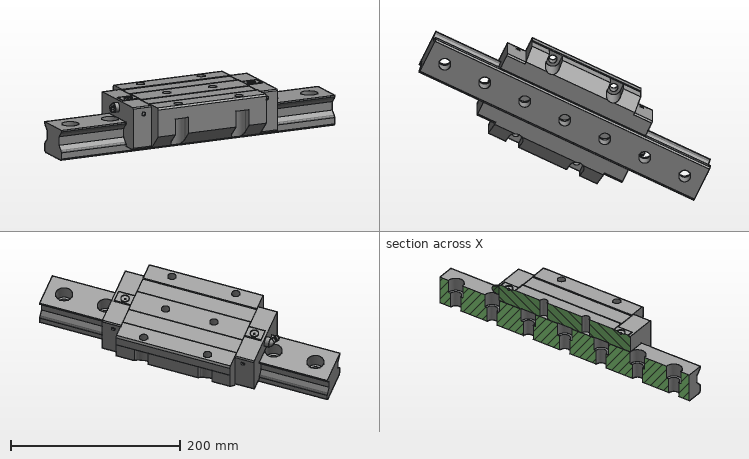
import cadquery as cq
import math


rail_length = 360.0
rail_width = 45.0
rail_half_width = rail_width / 2
rail_height = 37.0
rail_base_chamfer = 2.0
rail_hole_count = 7
rail_hole_end_margin = 22.5
rail_hole_diameter = 14.0
rail_counterbore_diameter = 20.0
rail_counterbore_depth = 17.0

neck_half_width = 16.0
shoulder_half_width = 21.0
shoulder_mid_half_width = 22.0
flank_height = shoulder_half_width - neck_half_width
base_side_top = 9.7
base_shoulder_mid = 10.8
lower_flank_bottom = 12.2
neck_bottom = lower_flank_bottom + flank_height
upper_flank_top = 32.8
neck_top = upper_flank_top - flank_height
head_shoulder_mid = 34.2
head_side_bottom = 35.3

total_height = 60.0
carriage_length = 190.0
cap_length = 23.8
block_length = carriage_length - 2 * cap_length
block_width = 120.0
block_half_width = block_width / 2
block_bottom = 7.5
block_bottom_half_width = 42.5
block_top_chamfer = 2.0
datum_step_depth = 1.0
datum_step_height = 45.5
recess_top = datum_step_height - datum_step_depth
datum_half_width = block_half_width - datum_step_depth

channel_inner = 14.8
channel_outer = 36.5
channel_floor_outer = 35.3
channel_depth = 0.7

mount_hole_x = 50.0
mount_hole_y = 40.0
mount_hole_diameter = 9.7
bolt_recess_radius = 8.5
oil_hole_y = 30.2
oil_hole_diameter = 9.7

cap_half_width = 41.8
cap_top = 59.0
cap_top_chamfer = 1.5
cap_bottom_chamfer = 2.0
cap_port_inset = 14.0
cap_port_y = carriage_length / 2 - cap_port_inset
port_height = 50.0
side_port_diameter = 4.5
side_port_depth = 2.0
pad_base_half_width = 8.3
pad_top_half_width = 7.2
pad_height = 0.7
pad_edge_margin = 3.2
seal_diameter = 10.0
seal_depth = 1.0
pilot_diameter = 1.8
pilot_depth = 2.0

nipple_base_diameter = 11.5
nipple_base_length = 5.5
nipple_ball_radius = 4.5
nipple_angle = 30.0
spout_radius = 3.2
spout_neck_radius = 2.0
spout_tip_radius = 1.8
spout_collar_end = 7.0
spout_head_start = 8.5
spout_cone_start = 11.0
spout_length = 13.5


def mirrored_outline(right_side):
    """Close an outline symmetric about the Z axis from the points of its +X half."""
    left_side = [(-x, z) for x, z in reversed(right_side)]
    return right_side + left_side


def extrude_along_y(outline, length):
    """Extrude an XZ outline, centred on Y = 0."""
    return cq.Workplane("XZ").polyline(outline).close().extrude(length / 2, both=True)


def vertical_cylinders(points, diameter, bottom, top):
    """Upright cylinders standing on the given XY points."""
    plane = cq.Workplane("XY").workplane(offset=bottom)
    return plane.pushPoints(points).circle(diameter / 2).extrude(top - bottom)


def rail_prism():
    """Rail without holes, also used to cut the running channel through the carriage."""
    return extrude_along_y(
        mirrored_outline([
            (rail_half_width - rail_base_chamfer, 0),
            (rail_half_width, rail_base_chamfer),
            (rail_half_width, base_side_top),
            (shoulder_mid_half_width, base_shoulder_mid),
            (shoulder_half_width, lower_flank_bottom),
            (neck_half_width, neck_bottom),
            (neck_half_width, neck_top),
            (shoulder_half_width, upper_flank_top),
            (shoulder_mid_half_width, head_shoulder_mid),
            (rail_half_width, head_side_bottom),
            (rail_half_width, rail_height),
        ]),
        rail_length,
    )


def make_rail():
    """Rail with a row of counterbored through holes."""
    first_hole_y = -rail_length / 2 + rail_hole_end_margin
    pitch = (rail_length - 2 * rail_hole_end_margin) / (rail_hole_count - 1)
    points = [(0, first_hole_y + i * pitch) for i in range(rail_hole_count)]
    bores = vertical_cylinders(points, rail_hole_diameter, 0, rail_height)
    counterbore_floor = rail_height - rail_counterbore_depth
    counterbores = vertical_cylinders(points, rail_counterbore_diameter, counterbore_floor, rail_height)
    return rail_prism().cut(bores).cut(counterbores)


def block_body():
    """Flanged block with 45 degree lower flanks and a -X side set back below its datum edge."""
    top_half_width = block_half_width - block_top_chamfer
    chamfer_bottom = total_height - block_top_chamfer
    outline = [
        (block_bottom_half_width, block_bottom),
        (block_half_width, block_bottom + block_half_width - block_bottom_half_width),
        (block_half_width, chamfer_bottom),
        (top_half_width, total_height),
        (-top_half_width, total_height),
        (-block_half_width, chamfer_bottom),
        (-block_half_width, datum_step_height),
        (-datum_half_width, recess_top),
        (-datum_half_width, block_bottom + datum_half_width - block_bottom_half_width),
        (-block_bottom_half_width, block_bottom),
    ]
    return extrude_along_y(outline, block_length)


def top_channel(side):
    """Shallow channel with a square inner wall and a sloped outer wall."""
    floor = total_height - channel_depth
    outline = [
        (side * channel_inner, floor),
        (side * channel_floor_outer, floor),
        (side * channel_outer, total_height),
        (side * channel_inner, total_height),
    ]
    return extrude_along_y(outline, block_length)


def bolt_recess(side, y):
    """U-shaped recess under the flange, open to the outer side and to the bottom."""
    height = recess_top - block_bottom
    reach = block_half_width - mount_hole_x
    slot = cq.Workplane("XY").box(
        reach, 2 * bolt_recess_radius, height, centered=(True, True, False)
    ).translate((side * (mount_hole_x + reach / 2), y, block_bottom))
    round_end = vertical_cylinders(
        [(side * mount_hole_x, y)], 2 * bolt_recess_radius, block_bottom, recess_top
    )
    return slot.union(round_end)


def end_caps():
    """Both end caps: one chamfered bar with the stretch inside the block removed."""
    cap_bar = extrude_along_y(
        mirrored_outline([(cap_half_width, block_bottom), (cap_half_width, cap_top)]),
        carriage_length,
    )
    cap_bar = cap_bar.edges("|Y and >Z").chamfer(cap_top_chamfer)
    cap_bar = cap_bar.edges("|Y and <Z").chamfer(cap_bottom_chamfer)
    middle = cq.Workplane("XY").box(block_width, block_length, 2 * total_height)
    return cap_bar.cut(middle)


def cap_pad(end):
    """Raised sealing pad with sloped sides on top of one cap."""
    pad_length = cap_length - pad_edge_margin
    outline = mirrored_outline([
        (pad_base_half_width, cap_top),
        (pad_top_half_width, cap_top + pad_height),
    ])
    return extrude_along_y(outline, pad_length).translate((0, end * (block_length + pad_length) / 2, 0))


def cap_recesses(end):
    """Seal seat and pilot hole in one pad, and the ports in the sides of its cap."""
    y = end * cap_port_y
    pad_top = cap_top + pad_height
    seal_floor = pad_top - seal_depth
    seal_seat = vertical_cylinders([(0, y)], seal_diameter, seal_floor, pad_top)
    pilot = vertical_cylinders([(0, y)], pilot_diameter, seal_floor - pilot_depth, pad_top)
    side_ports = [
        cq.Workplane("YZ", origin=(side * (cap_half_width - side_port_depth), y, port_height))
        .circle(side_port_diameter / 2)
        .extrude(side * side_port_depth)
        for side in (-1, 1)
    ]
    return [seal_seat, pilot] + side_ports


def make_carriage():
    """Block and both end caps, fitted around the rail section."""
    mount_points = [(side * mount_hole_x, end * mount_hole_y) for side in (-1, 1) for end in (-1, 1)]
    oil_points = [(0, -oil_hole_y), (0, oil_hole_y)]
    carriage = block_body().union(end_caps()).union(cap_pad(-1)).union(cap_pad(1))
    cutters = [
        rail_prism(),
        top_channel(-1),
        top_channel(1),
        vertical_cylinders(mount_points, mount_hole_diameter, block_bottom, total_height),
        vertical_cylinders(oil_points, oil_hole_diameter, rail_height, total_height),
    ]
    cutters += [bolt_recess(math.copysign(1, x), y) for x, y in mount_points]
    cutters += cap_recesses(-1) + cap_recesses(1)
    for cutter in cutters:
        carriage = carriage.cut(cutter)
    return carriage


def make_nipple():
    """Round base on the -Y cap face, a ball elbow and a spout swung from +X toward -Y."""
    ball_y = -carriage_length / 2 - nipple_base_length
    base = (
        cq.Workplane("XZ", origin=(0, ball_y + nipple_base_length, port_height))
        .circle(nipple_base_diameter / 2)
        .extrude(nipple_base_length)
    )
    ball = cq.Workplane("XY").sphere(nipple_ball_radius).translate((0, ball_y, port_height))
    spout = (
        cq.Workplane("XY")
        .polyline([
            (0, 0),
            (0, spout_radius),
            (spout_collar_end, spout_radius),
            (spout_collar_end, spout_neck_radius),
            (spout_head_start, spout_neck_radius),
            (spout_head_start, spout_radius),
            (spout_cone_start, spout_radius),
            (spout_length, spout_tip_radius),
            (spout_length, 0),
        ])
        .close()
        .revolve(360, (0, 0, 0), (1, 0, 0))
        .rotate((0, 0, 0), (0, 0, 1), -nipple_angle)
        .translate((0, ball_y, port_height))
    )
    return base.union(ball).union(spout)


rail = make_rail().solids()
carriage = make_carriage().solids()
nipple = make_nipple().solids()

result = cq.Compound.makeCompound([rail.val(), carriage.val(), nipple.val()])